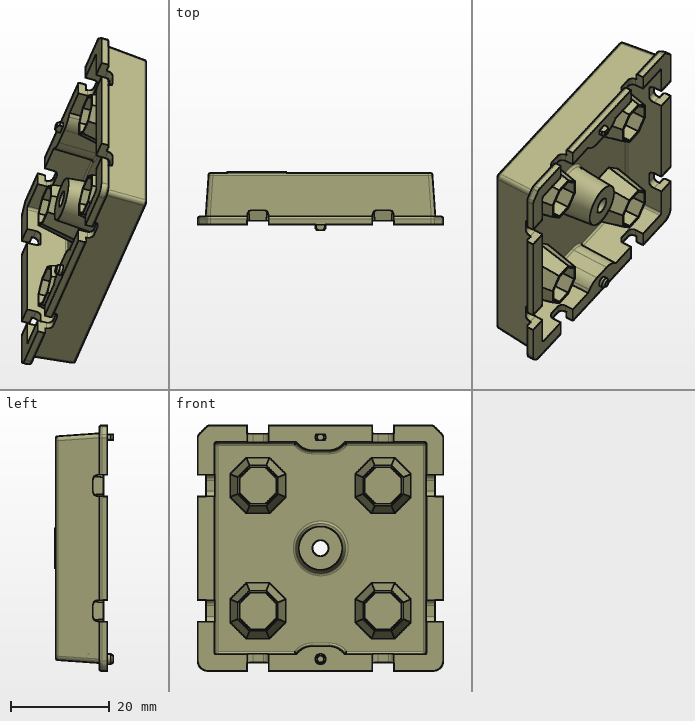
import cadquery as cq
import math

flange_side = 49.85
flange_thickness = 1.65
body_depth = 10.5
pin_height = 1.19
mark_height = 0.2

top_corner_chamfer = 2.1
chamfer_blend_radius = 1.0
bottom_corner_radius = 2.1
flange_edge_radius = 0.45

body_front_side = 46.87
body_draft = 4.0
body_corner_radius = 0.88
back_edge_radius = 0.5

floor_thickness = 2.0
floor_depth = body_depth - floor_thickness
cavity_mouth_side = 43.1
cavity_draft = 2.0
cavity_floor_radius = 0.4
cavity_corner_radius = 0.5

bulge_height = 1.67
bulge_half_base = 5.0
bulge_bend_radius = 3.8

pitch = 25.4
post_front_depth = 0.75
post_base_flats = 11.3
post_front_flats = 8.15
post_recess_flats = 7.4
post_recess_depth = 3.5
notch_width = 4.35
notch_depth = 2.95
notch_corner_radius = 1.1
notch_inner_limit = 20.5

boss_front_radius = 4.4
boss_base_radius = 5.1
boss_base_fillet = 0.5
boss_foot_radius = 6.0
bore_diameter = 3.2

pin_offset = 22.5
pin_diameter = 2.1
pin_chamfer_width = 0.35
pin_chamfer_height = 0.5
flat_pin_thickness = 1.15

mark_width = 12.0
mark_length = 8.1
mark_center_x = -12.9
mark_center_z = 0.0


def plane_at(depth):
    """Workplane facing -Y, with local x along X and local y along Z."""
    return cq.Workplane("XZ", origin=(0, depth, 0))


def octagon(flats):
    """Corner points of an octagon with sides parallel to X and Z."""
    corner_radius = flats / 2 / math.cos(math.pi / 8)
    angles = [math.pi / 8 + corner * math.pi / 4 for corner in range(8)]
    return [(corner_radius * math.cos(a), corner_radius * math.sin(a)) for a in angles]


def octagon_frustum(back_depth, back_flats, front_depth, front_flats):
    return (
        plane_at(back_depth)
        .polyline(octagon(back_flats))
        .close()
        .workplane(offset=back_depth - front_depth)
        .polyline(octagon(front_flats))
        .close()
        .loft(ruled=True)
    )


def make_flange():
    flange = plane_at(flange_thickness).rect(flange_side, flange_side).extrude(flange_thickness)
    flange = flange.edges("|Y and >Z").chamfer(top_corner_chamfer)
    flange = flange.edges("|Y exc <Z").fillet(chamfer_blend_radius)
    flange = flange.edges("|Y and <Z").fillet(bottom_corner_radius)
    return flange.faces(">Y").edges().fillet(flange_edge_radius)


def make_body():
    body = (
        plane_at(0)
        .rect(body_front_side, body_front_side)
        .extrude(-body_depth, taper=body_draft)
        .edges("not #Y")
        .fillet(body_corner_radius)
    )
    return body.faces(">Y").edges().fillet(back_edge_radius)


def make_cavity():
    """Pocket volume whose top and bottom walls bulge inward behind the pins."""
    half = cavity_mouth_side / 2
    crest = half - bulge_height
    tangent_length = bulge_bend_radius * math.tan(math.pi / 8)
    flat_x = bulge_half_base - bulge_height - tangent_length
    bend_x = flat_x + bulge_bend_radius * math.sin(math.pi / 4)
    bend_z = crest + bulge_bend_radius * (1 - math.cos(math.pi / 4))
    middle_x = flat_x + bulge_bend_radius * math.sin(math.pi / 8)
    middle_z = crest + bulge_bend_radius * (1 - math.cos(math.pi / 8))
    outline = plane_at(0).moveTo(-half, -half)
    for side in (-1, 1):
        outline = (
            outline.lineTo(side * bulge_half_base, side * half)
            .lineTo(side * bend_x, side * bend_z)
            .threePointArc((side * middle_x, side * middle_z), (side * flat_x, side * crest))
            .lineTo(-side * flat_x, side * crest)
            .threePointArc((-side * middle_x, side * middle_z), (-side * bend_x, side * bend_z))
            .lineTo(-side * bulge_half_base, side * half)
            .lineTo(-side * half, side * half)
            .lineTo(-side * half, -side * half)
        )
    cavity = outline.close().extrude(-floor_depth, taper=cavity_draft)
    for side in ("<X", ">X"):
        cavity = cavity.faces(side).edges("not #Y").edges("not |Z").fillet(cavity_corner_radius)
    return cavity.faces(">Y").edges().fillet(cavity_floor_radius)


def make_notch(x):
    """Cutter for one notch through the top rim, rounded at its deep corners."""
    notch = cq.Workplane("XY").box(
        notch_width,
        notch_depth,
        flange_side / 2 - notch_inner_limit,
        centered=(True, False, False),
    )
    notch = notch.edges("|Z and >Y").fillet(notch_corner_radius)
    return notch.translate((x, 0, notch_inner_limit))


def make_post():
    """Tapered octagonal post with a straight-sided recess in its front."""
    post = octagon_frustum(floor_depth, post_base_flats, post_front_depth, post_front_flats)
    recess = (
        plane_at(post_front_depth)
        .polyline(octagon(post_recess_flats))
        .close()
        .extrude(-post_recess_depth)
    )
    return post.cut(recess)


def make_boss():
    """Conical boss flared into the floor."""
    foot_height = floor_thickness / 2
    foot = plane_at(floor_depth + foot_height).circle(boss_foot_radius).extrude(foot_height)
    boss_draft = math.degrees(math.atan2(boss_base_radius - boss_front_radius, floor_depth))
    cone = plane_at(floor_depth).circle(boss_base_radius).extrude(floor_depth, taper=boss_draft)
    root = cq.selectors.RadiusNthSelector(1)
    return foot.union(cone).edges(root).fillet(boss_base_fillet)


def make_pin():
    """Round pin standing forward of the flange, with a chamfered tip."""
    pin = plane_at(0).circle(pin_diameter / 2).extrude(pin_height)
    return pin.faces("<Y").chamfer(pin_chamfer_height, pin_chamfer_width)


def make_flat_pin():
    """Locating pin reduced to a slab between two flats."""
    slab = cq.Workplane("XY").box(pin_diameter, 2 * pin_height, flat_pin_thickness)
    return make_pin().intersect(slab)


def make_mark_field():
    field = plane_at(body_depth + mark_height).center(mark_center_x, mark_center_z)
    return field.rect(mark_width, mark_length).extrude(mark_height)


result = make_flange().union(make_body()).cut(make_cavity())

post_positions = (-pitch / 2, pitch / 2)
for side in range(4):
    for position in post_positions:
        notch = make_notch(position).rotate((0, 0, 0), (0, 1, 0), 90 * side)
        result = result.cut(notch)

for x in post_positions:
    for z in post_positions:
        result = result.union(make_post().translate((x, 0, z)))

result = result.union(make_boss())
result = result.cut(plane_at(body_depth).circle(bore_diameter / 2).extrude(body_depth))
result = result.union(make_flat_pin().translate((0, 0, pin_offset)))
result = result.union(make_pin().translate((0, 0, -pin_offset)))
result = result.union(make_mark_field())